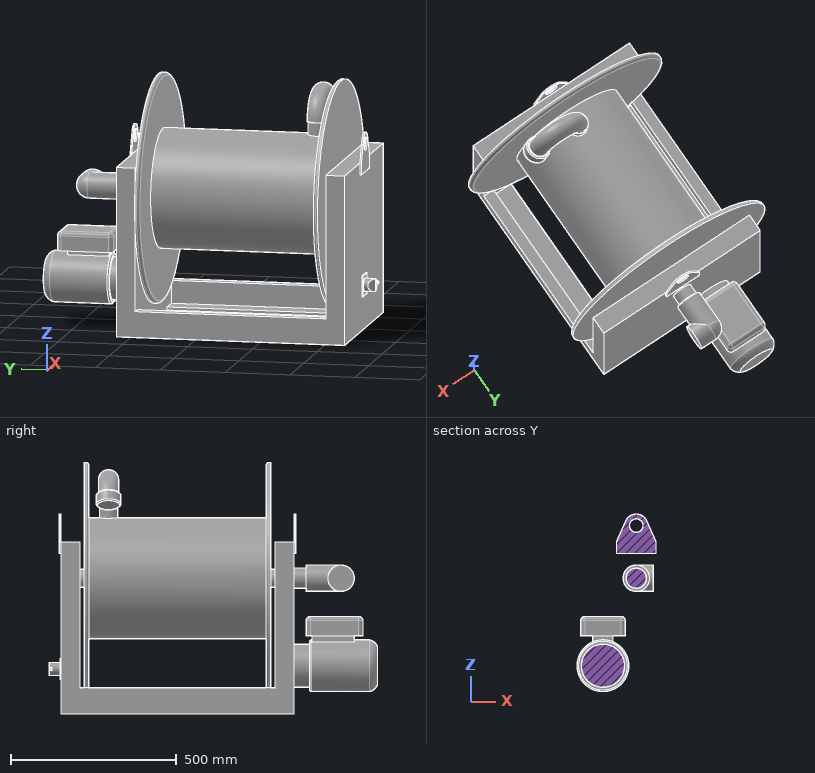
import cadquery as cq
import math

FRAME_WIDTH = 570.0
FRAME_DEPTH = 704.0
FRAME_HEIGHT = 520.0
WALL_THICKNESS = 58.0
RAIL_HEIGHT = 80.0
RAIL_WIDTH = 35.0
RAIL_FLANGE_WIDTH = 100.0
RAIL_FLANGE_THICKNESS = 10.0

DISC_DIAMETER = 700.0
DISC_THICKNESS = 14.5
DISC_RIM_FILLET = 9.0
DISC_GAP = 12.0
DRUM_DIAMETER = 366.0
SHAFT_DIAMETER = 55.0
TOTAL_HEIGHT = 760.0

LUG_WIDTH = 120.0
LUG_HEIGHT = 120.0
LUG_OVERLAP = 36.0
LUG_SHOULDER = 36.0
LUG_TOP_RADIUS = 35.0
LUG_HOLE_DIAMETER = 40.0
LUG_THICKNESS = 5.0

SWITCH_HEIGHT = 136.0
SWITCH_PLATE_SIZE = 64.0
SWITCH_PLATE_THICKNESS = 3.0
KNOB_DIAMETER = 40.0
KNOB_REACH = 36.0
KNOB_CHAMFER = 2.0
LEVER_SIZE = 10.0
LEVER_CHAMFER = 2.5
LEVER_REACH = 51.0

MOTOR_X = -100.5
MOTOR_HEIGHT = 146.0
MOTOR_NECK_DIAMETER = 131.0
MOTOR_NECK_LENGTH = 46.0
MOTOR_DIAMETER = 157.0
MOTOR_REACH = 252.0
MOTOR_FRONT_CHAMFER = 5.0
MOTOR_END_LENGTH = 24.0
MOTOR_END_INSET = 20.0
MOTOR_END_RADIUS = 36.0

BOX_WIDTH = 135.0
BOX_LENGTH = 172.0
BOX_OFFSET = 36.0
BOX_BOTTOM = 236.0
BOX_TOP = 295.0
BOX_FILLET = 13.0
BOX_FOOT_WIDTH = 62.0
BOX_FOOT_LENGTH = 128.0
BOX_FOOT_OFFSET = 54.0

SWIVEL_NECK_DIAMETER = 62.0
SWIVEL_NECK_LENGTH = 36.0
ELBOW_DIAMETER = 80.0
ELBOW_AXIS_OFFSET = 142.0
ELBOW_BRANCH_REACH = 52.0

OUTLET_OFFSET = 144.0
OUTLET_STUB_DIAMETER = 56.0
HOSE_DIAMETER = 62.0
HOSE_BEND_RADIUS = 75.0
HOSE_BEND_ANGLE = 155.0
HOSE_BEND_HEIGHT = 632.0
COLLAR_DIAMETER = 75.0
COLLAR_LENGTH = 37.0
COLLAR_CHAMFER = 4.0

FRONT_Y = -FRAME_DEPTH / 2
BACK_Y = FRAME_DEPTH / 2
WALL_INNER_Y = BACK_Y - WALL_THICKNESS
DISC_OUTER_Y = WALL_INNER_Y - DISC_GAP
AXIS_Z = TOTAL_HEIGHT - DISC_DIAMETER / 2
OUTLET_Y = FRONT_Y + OUTLET_OFFSET


def block(x_range, y_range, z_range):
    """Box spanning the given (low, high) ranges."""
    size = [high - low for low, high in (x_range, y_range, z_range)]
    corner = (x_range[0], y_range[0], z_range[0])
    return cq.Workplane("XY").box(*size, centered=False).translate(corner)


def rod_y(diameter, y_start, y_end, x=0.0, z=AXIS_Z):
    """Round bar running along +Y from y_start to y_end."""
    base = cq.Vector(x, y_start, z)
    bar = cq.Solid.makeCylinder(diameter / 2, y_end - y_start, base, cq.Vector(0, 1, 0))
    return cq.Workplane(bar)


def make_frame():
    """U-shaped frame; each rail is an angle with a thin inward flange at the bottom."""
    half_width = FRAME_WIDTH / 2
    frame = block((-half_width, half_width), (FRONT_Y, BACK_Y), (0, FRAME_HEIGHT))
    inner_y = (-WALL_INNER_Y, WALL_INNER_Y)
    web_x = half_width - RAIL_WIDTH
    flange_x = half_width - RAIL_FLANGE_WIDTH
    frame = frame.cut(block((-half_width, half_width), inner_y, (RAIL_HEIGHT, FRAME_HEIGHT)))
    frame = frame.cut(block((-web_x, web_x), inner_y, (RAIL_FLANGE_THICKNESS, RAIL_HEIGHT)))
    return frame.cut(block((-flange_x, flange_x), inner_y, (0, RAIL_FLANGE_THICKNESS)))


def make_reel():
    """Drum between two discs, carried by a shaft that ends in the frame walls."""
    disc_inner_y = DISC_OUTER_Y - DISC_THICKNESS
    back_disc = rod_y(DISC_DIAMETER, disc_inner_y, DISC_OUTER_Y)
    back_disc = back_disc.faces("<Y").edges().fillet(DISC_RIM_FILLET)
    reel = rod_y(DRUM_DIAMETER, -disc_inner_y, disc_inner_y)
    reel = reel.union(back_disc).union(back_disc.mirror("XZ"))
    return reel.union(rod_y(SHAFT_DIAMETER, FRONT_Y + WALL_THICKNESS / 2, BACK_Y - WALL_THICKNESS / 2))


def make_lug():
    """Lifting lug on the back wall: rounded top, sides tangent to the round."""
    half_width = LUG_WIDTH / 2
    bottom_z = FRAME_HEIGHT - LUG_OVERLAP
    shoulder_z = bottom_z + LUG_SHOULDER
    hole_z = bottom_z + LUG_HEIGHT - LUG_TOP_RADIUS
    rise = hole_z - shoulder_z
    reach = math.hypot(half_width, rise)
    tangent_angle = math.acos(LUG_TOP_RADIUS / reach) - math.atan2(rise, half_width)
    tangent_x = LUG_TOP_RADIUS * math.cos(tangent_angle)
    tangent_z = hole_z + LUG_TOP_RADIUS * math.sin(tangent_angle)
    return (
        cq.Workplane("XZ", origin=(0, BACK_Y + LUG_THICKNESS, 0))
        .moveTo(-half_width, bottom_z)
        .lineTo(half_width, bottom_z)
        .lineTo(half_width, shoulder_z)
        .lineTo(tangent_x, tangent_z)
        .threePointArc((0, hole_z + LUG_TOP_RADIUS), (-tangent_x, tangent_z))
        .lineTo(-half_width, shoulder_z)
        .close()
        .moveTo(0, hole_z)
        .circle(LUG_HOLE_DIAMETER / 2)
        .extrude(LUG_THICKNESS)
    )


def make_switch():
    """Square plate with a knob, bevelled at 45 degrees on its -X half, and a chamfered lever."""
    half_plate = SWITCH_PLATE_SIZE / 2
    knob_radius = KNOB_DIAMETER / 2
    knob_end_y = FRONT_Y - KNOB_REACH
    plate = block(
        (-half_plate, half_plate),
        (FRONT_Y - SWITCH_PLATE_THICKNESS, FRONT_Y),
        (SWITCH_HEIGHT - half_plate, SWITCH_HEIGHT + half_plate),
    )
    bevel = (
        cq.Workplane("XY", origin=(0, 0, SWITCH_HEIGHT - knob_radius))
        .moveTo(0, knob_end_y)
        .lineTo(-knob_radius, knob_end_y + knob_radius)
        .lineTo(-knob_radius, knob_end_y)
        .close()
        .extrude(KNOB_DIAMETER)
    )
    knob = rod_y(KNOB_DIAMETER, knob_end_y, FRONT_Y, z=SWITCH_HEIGHT)
    knob = knob.faces("<Y").chamfer(KNOB_CHAMFER).cut(bevel)
    lever = block(
        (0, LEVER_REACH),
        (knob_end_y, knob_end_y + LEVER_SIZE),
        (SWITCH_HEIGHT - LEVER_SIZE / 2, SWITCH_HEIGHT + LEVER_SIZE / 2),
    )
    lever = lever.edges("|X or >X").chamfer(LEVER_CHAMFER)
    return plate.union(knob).union(lever)


def make_motor():
    """Neck and motor body turned about the motor axis."""
    neck_radius = MOTOR_NECK_DIAMETER / 2
    radius = MOTOR_DIAMETER / 2
    return (
        cq.Workplane("XY")
        .lineTo(neck_radius, 0)
        .lineTo(neck_radius, MOTOR_NECK_LENGTH)
        .lineTo(radius - MOTOR_FRONT_CHAMFER, MOTOR_NECK_LENGTH)
        .lineTo(radius, MOTOR_NECK_LENGTH + MOTOR_FRONT_CHAMFER)
        .lineTo(radius, MOTOR_REACH - MOTOR_END_LENGTH)
        .radiusArc((radius - MOTOR_END_INSET, MOTOR_REACH), -MOTOR_END_RADIUS)
        .lineTo(0, MOTOR_REACH)
        .close()
        .revolve(360, (0, 0, 0), (0, 1, 0))
        .translate((MOTOR_X, BACK_Y, MOTOR_HEIGHT))
    )


def make_terminal_box():
    """Terminal box rounded on its top and upright edges, on a foot that enters the motor."""
    box_y = BACK_Y + BOX_OFFSET
    foot_y = BACK_Y + BOX_FOOT_OFFSET
    box = block(
        (MOTOR_X - BOX_WIDTH / 2, MOTOR_X + BOX_WIDTH / 2),
        (box_y, box_y + BOX_LENGTH),
        (BOX_BOTTOM, BOX_TOP),
    )
    box = box.edges("|Z or >Z").fillet(BOX_FILLET)
    foot = block(
        (MOTOR_X - BOX_FOOT_WIDTH / 2, MOTOR_X + BOX_FOOT_WIDTH / 2),
        (foot_y, foot_y + BOX_FOOT_LENGTH),
        (MOTOR_HEIGHT, BOX_BOTTOM),
    )
    return box.union(foot)


def make_swivel():
    """Stepped pipe leaving the back wall and turning to +X through a round corner."""
    elbow_y = BACK_Y + ELBOW_AXIS_OFFSET
    neck_end_y = BACK_Y + SWIVEL_NECK_LENGTH
    radius = ELBOW_DIAMETER / 2
    corner = cq.Workplane("XY").sphere(radius).translate((0, elbow_y, AXIS_Z))
    branch = cq.Workplane("YZ").center(elbow_y, AXIS_Z).circle(radius).extrude(ELBOW_BRANCH_REACH)
    swivel = rod_y(SWIVEL_NECK_DIAMETER, BACK_Y, neck_end_y)
    swivel = swivel.union(rod_y(ELBOW_DIAMETER, neck_end_y, elbow_y))
    return swivel.union(branch).union(corner)


def make_hose_outlet():
    """Stub on top of the drum, a hose bend toward +X and a collar on its free end."""
    stub = (
        cq.Workplane("XY", origin=(0, OUTLET_Y, AXIS_Z))
        .circle(OUTLET_STUB_DIAMETER / 2)
        .extrude(HOSE_BEND_HEIGHT - AXIS_Z)
    )
    bend = (
        cq.Workplane("XY", origin=(0, OUTLET_Y, HOSE_BEND_HEIGHT))
        .circle(HOSE_DIAMETER / 2)
        .revolve(HOSE_BEND_ANGLE, (HOSE_BEND_RADIUS, 0, 0), (HOSE_BEND_RADIUS, 1, 0))
    )
    angle = math.radians(HOSE_BEND_ANGLE)
    end_x = HOSE_BEND_RADIUS * (1 - math.cos(angle))
    end_z = HOSE_BEND_HEIGHT + HOSE_BEND_RADIUS * math.sin(angle)
    end_point = cq.Vector(end_x, OUTLET_Y, end_z)
    end_direction = cq.Vector(math.sin(angle), 0, math.cos(angle))
    collar = cq.Solid.makeCylinder(COLLAR_DIAMETER / 2, COLLAR_LENGTH, end_point, end_direction)
    collar = cq.Workplane(collar).faces("%PLANE").edges().chamfer(COLLAR_CHAMFER)
    return stub.union(bend).union(collar)


back_lug = make_lug()

result = make_frame()
for feature in (
    make_reel(),
    back_lug,
    back_lug.mirror("XZ"),
    make_switch(),
    make_motor(),
    make_terminal_box(),
    make_swivel(),
    make_hose_outlet(),
):
    result = result.union(feature)